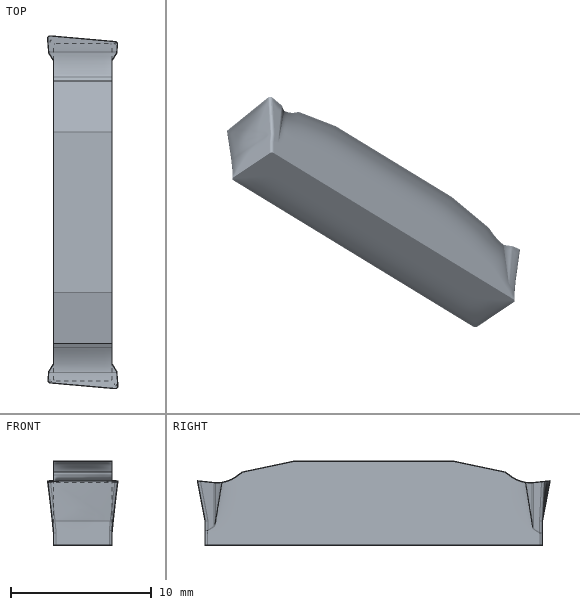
import math

import cadquery as cq


SHANK_LENGTH = 23.98
SHANK_WIDTH = 4.17
HEIGHT = 5.97
CORNER_RADIUS = 0.2

CROWN_HALF_LENGTH = 5.70
RAMP_END_Y = 9.32
RAMP_END_Z = 5.21
BREAKER_RADIUS = 2.34
BREAKER_BOTTOM_Z = 4.45
BREAKER_END_Y = 11.37
BREAKER_BACK_ANGLE = 40.0
RAKE_ANGLE = 6.0

EDGE_HEIGHT = 4.6
NOSE_MID_Y = 12.334
NOSE_SKEW_ANGLE = 5.0
NOSE_FOOT_Z = 1.74
HEAD_ROOT_Z = 0.5
KINK_Y = 11.3
KINK_HALF_WIDTH = 2.437
LONG_SIDE_RELIEF_ANGLE = 6.2
SHORT_SIDE_RELIEF_ANGLE = 5.9
BACK_TAPER_ANGLE = 4.0
BACK_FACE_ANGLE = 33.0
HEAD_ROOT_DEPTH = 0.9

PROFILE_OVERHANG = 1.0


def tangent_of(degrees):
    return math.tan(math.radians(degrees))


def arc_point(center, degrees):
    """Point on the chip breaker trough, by angle from its lowest point."""
    angle = math.radians(degrees)
    y = center[0] + BREAKER_RADIUS * math.sin(angle)
    z = center[1] - BREAKER_RADIUS * math.cos(angle)
    return (y, z)


def make_half_profile():
    """Side outline of the +Y half, extruded across the full head width."""
    center_y = BREAKER_END_Y - BREAKER_RADIUS * math.sin(math.radians(RAKE_ANGLE))
    center = (center_y, BREAKER_BOTTOM_Z + BREAKER_RADIUS)
    trough_start = arc_point(center, -BREAKER_BACK_ANGLE)
    trough_end = arc_point(center, RAKE_ANGLE)
    outer_y = NOSE_MID_Y + PROFILE_OVERHANG
    outer_z = trough_end[1] + (outer_y - trough_end[0]) * tangent_of(RAKE_ANGLE)
    return (
        cq.Workplane("YZ")
        .moveTo(0, 0)
        .lineTo(0, HEIGHT)
        .lineTo(CROWN_HALF_LENGTH, HEIGHT)
        .lineTo(RAMP_END_Y, RAMP_END_Z)
        .lineTo(*trough_start)
        .threePointArc(arc_point(center, 0), trough_end)
        .lineTo(outer_y, outer_z)
        .lineTo(outer_y, 0)
        .close()
        .extrude(SHANK_WIDTH, both=True)
    )


def make_half_shank():
    """Plain +Y half of the shank with rounded upright end corners."""
    half_length = SHANK_LENGTH / 2
    return (
        cq.Workplane("XY")
        .box(SHANK_WIDTH, half_length, HEIGHT, centered=(True, False, False))
        .edges("|Z and >Y")
        .fillet(CORNER_RADIUS)
    )


def corner_arc(before, corner, after):
    """Start, middle and end of the arc that rounds a plan corner."""
    corner = cq.Vector(*corner)
    back = (cq.Vector(*before) - corner).normalized()
    ahead = (cq.Vector(*after) - corner).normalized()
    half_angle = back.getAngle(ahead) / 2
    setback = CORNER_RADIUS / math.tan(half_angle)
    middle_distance = CORNER_RADIUS / math.sin(half_angle) - CORNER_RADIUS
    middle = corner + (back + ahead).normalized() * middle_distance
    return corner + back * setback, middle, corner + ahead * setback


def flank_points(side, z, nose_y, skew):
    """Root, kink and sharp nose corner of one flank (side is -1 or +1) at level z."""
    relief = LONG_SIDE_RELIEF_ANGLE if side < 0 else SHORT_SIDE_RELIEF_ANGLE
    kink = KINK_HALF_WIDTH - (EDGE_HEIGHT - z) * tangent_of(relief)
    root = kink - HEAD_ROOT_DEPTH * tangent_of(BACK_FACE_ANGLE)
    taper = tangent_of(BACK_TAPER_ANGLE)
    corner = (kink + taper * (nose_y - KINK_Y)) / (1 + side * taper * skew)
    return (
        (side * root, KINK_Y - HEAD_ROOT_DEPTH, z),
        (side * kink, KINK_Y, z),
        (side * corner, nose_y - side * skew * corner, z),
    )


def head_section(z, nose_y, skew):
    """Closed plan outline of the head at level z."""
    left_root, left_kink, left_corner = flank_points(-1, z, nose_y, skew)
    right_root, right_kink, right_corner = flank_points(1, z, nose_y, skew)
    outline = [left_root, left_kink, left_corner, right_corner, right_kink, right_root]
    edges = []
    start = cq.Vector(*left_root)
    for before, corner, after in zip(outline, outline[1:], outline[2:]):
        arc = corner_arc(before, corner, after)
        edges.append(cq.Edge.makeLine(start, arc[0]))
        edges.append(cq.Edge.makeThreePointArc(*arc))
        start = arc[2]
    edges.append(cq.Edge.makeLine(start, cq.Vector(*right_root)))
    edges.append(cq.Edge.makeLine(cq.Vector(*right_root), cq.Vector(*left_root)))
    return cq.Wire.assembleEdges(edges)


def make_head():
    """Flared +Y head: an upright foot below a twisted nose relief."""
    foot_y = SHANK_LENGTH / 2
    root = head_section(HEAD_ROOT_Z, foot_y, 0)
    foot = head_section(NOSE_FOOT_Z, foot_y, 0)
    edge = head_section(EDGE_HEIGHT, NOSE_MID_Y, tangent_of(NOSE_SKEW_ANGLE))
    lower = cq.Solid.makeLoft([root, foot], True)
    upper = cq.Solid.makeLoft([foot, edge], True)
    return cq.Workplane(obj=lower).union(cq.Workplane(obj=upper))


half = make_half_shank().union(make_head()).intersect(make_half_profile())
other_half = half.rotate((0, 0, 0), (0, 0, 1), 180)
result = half.union(other_half).clean()